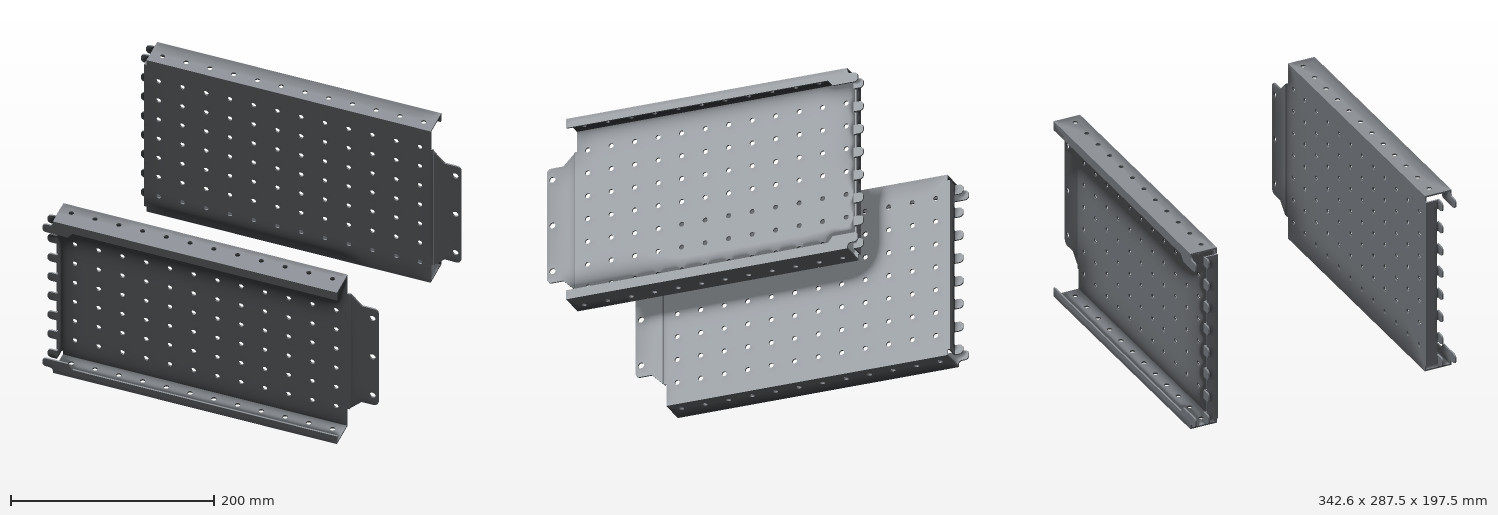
import cadquery as cq

SHEET = 1.75
TRAY_LENGTH = 299.0
TRAY_HEIGHT = 197.5
TRAY_DEPTH = 29.25
OVERALL_LENGTH = 342.62
OVERALL_WIDTH = 287.5
LIP_HEIGHT = 10.0

PITCH = 25.0
HOLE_DIAMETER = 5.2
FIRST_HOLE_X = 12.5
COLUMNS = 12
ROWS = 7
FLANGE_HOLE_FROM_WEB = 11.0

TOOTH_HEIGHT = 10.0
TOOTH_COUNT = 8
TIP_RADIUS = 4.0
WALL_OFFSET = 2.75
WALL_DEPTH = 12.0
TOOTH_DEPTH = 15.0
TAB_ROOT_LENGTH = 15.5
TAB_SLOPE_LENGTH = 5.0
TAB_CORNER_RADIUS = 4.0

PLATE_END = 331.5
PLATE_OFFSET = 1.25
STEP_START = 301.5
STEP_END = 302.75
PLATE_ROOT_HEIGHT = 150.0
PLATE_HEIGHT = 125.0
PLATE_CORNER_RADIUS = 5.0
PLATE_HOLE_DIAMETER = 6.25
PLATE_HOLE_COUNT = 3
PLATE_HOLE_PITCH = 50.0
PLATE_HOLE_INSET = 6.0

HOLE_ROW_CENTER_X = FIRST_HOLE_X + (COLUMNS - 1) * PITCH / 2
TIP_REACH = OVERALL_LENGTH - PLATE_END
WEB_Y = OVERALL_WIDTH / 2 - TRAY_DEPTH
HALF_HEIGHT = TRAY_HEIGHT / 2
TOOTH_SPAN = (TOOTH_COUNT - 1) * PITCH
WALL_HEIGHT = TOOTH_SPAN + TOOTH_HEIGHT
TAB_Z = TOOTH_SPAN / 2
TAB_TOP = TAB_Z + TOOTH_HEIGHT / 2
TAB_BOTTOM = TAB_Z - TOOTH_HEIGHT / 2
LIP_BOTTOM = HALF_HEIGHT - LIP_HEIGHT


def block(x_range, y_range, z_range):
    """Box given by its limits along each axis."""
    (x0, x1), (y0, y1), (z0, z1) = x_range, y_range, z_range
    return cq.Workplane("XY").box(x1 - x0, y1 - y0, z1 - z0, centered=False).translate((x0, y0, z0))


def xz_plate(outline, y0, thickness=SHEET):
    """Thicken an outline, drawn on an XZ workplane, from Y = y0 to y0 + thickness."""
    return outline.extrude(-thickness).translate((0, y0, 0))


def make_channel():
    """Web, upper and lower flange; web outer face on Y = 0."""
    full = block((0, TRAY_LENGTH), (0, TRAY_DEPTH), (-HALF_HEIGHT, HALF_HEIGHT))
    inner = HALF_HEIGHT - SHEET
    return full.cut(block((0, TRAY_LENGTH), (SHEET, TRAY_DEPTH), (-inner, inner)))


def make_upper_lip():
    """Lip of the upper flange with the locking tab at its X- end."""
    fillet_end = TAB_TOP + TAB_CORNER_RADIUS
    outline = (
        cq.Workplane("XZ")
        .moveTo(0, HALF_HEIGHT)
        .lineTo(TRAY_LENGTH, HALF_HEIGHT)
        .lineTo(TRAY_LENGTH, LIP_BOTTOM)
        .lineTo(TAB_ROOT_LENGTH + TAB_SLOPE_LENGTH, LIP_BOTTOM)
        .lineTo(TAB_ROOT_LENGTH, TAB_BOTTOM)
        .lineTo(TIP_RADIUS - TIP_REACH, TAB_BOTTOM)
        .radiusArc((-TIP_REACH, TAB_BOTTOM + TIP_RADIUS), TIP_RADIUS)
        .lineTo(-TIP_REACH, TAB_TOP - TIP_RADIUS)
        .radiusArc((TIP_RADIUS - TIP_REACH, TAB_TOP), TIP_RADIUS)
        .lineTo(-TAB_CORNER_RADIUS, TAB_TOP)
        .radiusArc((0, fillet_end), -TAB_CORNER_RADIUS)
        .close()
    )
    return xz_plate(outline, TRAY_DEPTH - SHEET)


def make_end_wall():
    """Wall bent up from the X- end of the web, its free edge carrying outward-bent teeth."""
    half = WALL_HEIGHT / 2
    wall = block((-WALL_OFFSET, SHEET - WALL_OFFSET), (0, WALL_DEPTH), (-half, half))
    foot = block((-WALL_OFFSET, 0), (0, SHEET), (-half, half))
    wall = wall.union(foot)
    tooth = make_tooth()
    for index in range(TOOTH_COUNT):
        wall = wall.union(tooth.translate((0, 0, index * PITCH - TOOTH_SPAN / 2)))
    return wall


def make_tooth():
    """One tooth centred on Z = 0, continuing the wall and then bent towards X-."""
    half = TOOTH_HEIGHT / 2
    inner_x = SHEET - WALL_OFFSET
    root = block((-WALL_OFFSET, inner_x), (WALL_DEPTH, TOOTH_DEPTH), (-half, half))
    blade = block((-TIP_REACH, inner_x), (TOOTH_DEPTH - SHEET, TOOTH_DEPTH), (-half, half))
    blade = blade.edges("|Y").edges("<X").fillet(TIP_RADIUS)
    return root.union(blade)


def make_mounting_plate():
    """Plate at the X+ end of the web, stepped outward, with tapered shoulders and a row of holes."""
    half_root = PLATE_ROOT_HEIGHT / 2
    half_end = PLATE_HEIGHT / 2
    shoulder_x = STEP_START + half_root - half_end
    section = (
        cq.Workplane("XY")
        .moveTo(TRAY_LENGTH, 0)
        .lineTo(STEP_START, 0)
        .lineTo(STEP_END, -PLATE_OFFSET)
        .lineTo(PLATE_END, -PLATE_OFFSET)
        .lineTo(PLATE_END, SHEET - PLATE_OFFSET)
        .lineTo(STEP_END, SHEET - PLATE_OFFSET)
        .lineTo(STEP_START, SHEET)
        .lineTo(TRAY_LENGTH, SHEET)
        .close()
        .extrude(PLATE_ROOT_HEIGHT)
        .translate((0, 0, -half_root))
    )
    outline = (
        cq.Workplane("XZ")
        .moveTo(TRAY_LENGTH, -half_root)
        .lineTo(STEP_START, -half_root)
        .lineTo(shoulder_x, -half_end)
        .lineTo(PLATE_END, -half_end)
        .lineTo(PLATE_END, half_end)
        .lineTo(shoulder_x, half_end)
        .lineTo(STEP_START, half_root)
        .lineTo(TRAY_LENGTH, half_root)
        .close()
    )
    blank = xz_plate(outline, -PLATE_OFFSET, SHEET + PLATE_OFFSET)
    blank = blank.edges("|Y").edges(">X").fillet(PLATE_CORNER_RADIUS)
    holes = (
        cq.Workplane("XZ")
        .center(PLATE_END - PLATE_HOLE_INSET, 0)
        .rarray(1, PLATE_HOLE_PITCH, 1, PLATE_HOLE_COUNT)
        .circle(PLATE_HOLE_DIAMETER / 2)
        .extrude(TRAY_DEPTH, both=True)
    )
    return section.intersect(blank).cut(holes)


def make_web_holes():
    """Cutters for the grid of holes through the web."""
    return (
        cq.Workplane("XZ")
        .center(HOLE_ROW_CENTER_X, 0)
        .rarray(PITCH, PITCH, COLUMNS, ROWS)
        .circle(HOLE_DIAMETER / 2)
        .extrude(SHEET * 2, both=True)
    )


def make_flange_holes():
    """Cutters for the row of holes through both flanges."""
    return (
        cq.Workplane("XY")
        .center(HOLE_ROW_CENTER_X, FLANGE_HOLE_FROM_WEB)
        .rarray(PITCH, 1, COLUMNS, 1)
        .circle(HOLE_DIAMETER / 2)
        .extrude(TRAY_HEIGHT, both=True)
    )


def make_side_panel():
    """Complete panel with the web outer face on Y = 0 and the tray opening towards Y+."""
    upper_lip = make_upper_lip()
    return (
        make_channel()
        .union(upper_lip)
        .union(upper_lip.mirror("XY"))
        .union(make_end_wall())
        .union(make_mounting_plate())
        .cut(make_web_holes())
        .cut(make_flange_holes())
    )


back_panel = make_side_panel().translate((0, WEB_Y, 0))
side_panels = [back_panel, back_panel.mirror("XZ")]

result = cq.Compound.makeCompound([panel.val() for panel in side_panels])